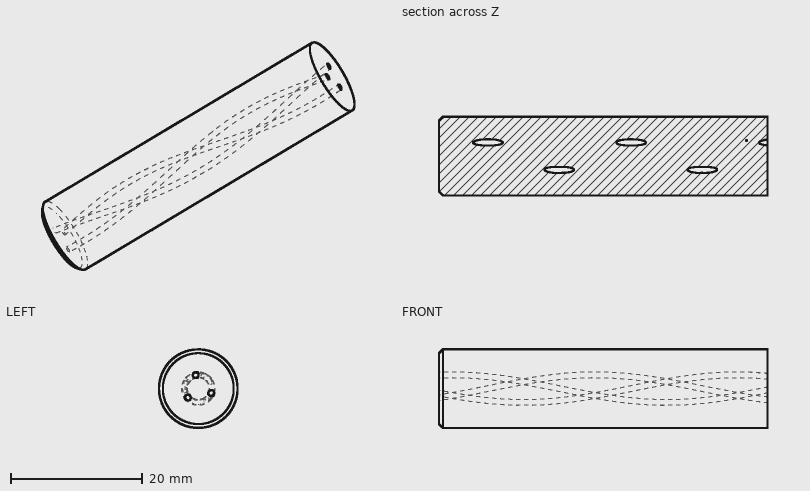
import cadquery as cq
import math

ROD_DIAMETER = 12.0
ROD_LENGTH = 50.0
CHAMFER = 0.6

CHANNEL_COUNT = 3
CHANNEL_DIAMETER = 0.9
CHANNEL_CIRCLE_RADIUS = 2.1
FIRST_CHANNEL_ANGLE = 79.0

SURFACE_HELIX_ANGLE = 30.0
HELIX_LEAD = math.pi * ROD_DIAMETER / math.tan(math.radians(SURFACE_HELIX_ANGLE))
TWIST_ANGLE = 360.0 * ROD_LENGTH / HELIX_LEAD


def make_rod():
    """Plain cylinder from X = 0, chamfered on the -X end only."""
    rod = cq.Workplane("YZ").circle(ROD_DIAMETER / 2).extrude(ROD_LENGTH)
    return rod.faces("<X").chamfer(CHAMFER)


def make_channels():
    """Helical channels, evenly spaced around the rod axis."""
    return (
        cq.Workplane("YZ")
        .polarArray(CHANNEL_CIRCLE_RADIUS, FIRST_CHANNEL_ANGLE, 360, CHANNEL_COUNT)
        .circle(CHANNEL_DIAMETER / 2)
        .twistExtrude(ROD_LENGTH, TWIST_ANGLE)
    )


result = make_rod().cut(make_channels())